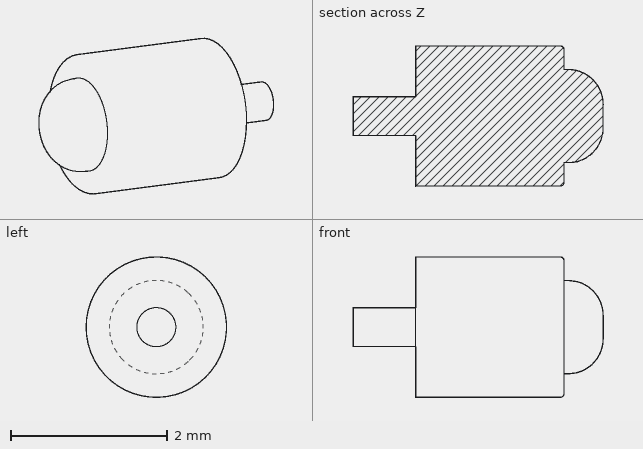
import cadquery as cq

pin_diameter = 0.5
pin_length = 0.8
body_diameter = 1.8
body_length = 1.9
body_edge_radius = 0.05
tip_diameter = 1.2
tip_length = 0.5
tip_edge_radius = 0.45

body_end = body_length
tip_end = body_end + tip_length


def cylinder_along_x(start, end, diameter):
    """Solid cylinder on the X axis between two stations."""
    return cq.Workplane("YZ", origin=(start, 0, 0)).circle(diameter / 2).extrude(end - start)


def make_pin():
    return cylinder_along_x(-pin_length, 0, pin_diameter)


def make_body():
    """Main barrel with its +X rim rounded over."""
    barrel = cylinder_along_x(0, body_end, body_diameter)
    return barrel.faces(">X").edges().fillet(body_edge_radius)


def make_tip():
    """Domed plunger: a short straight collar, then a large round up to a small flat."""
    plunger = cylinder_along_x(body_end, tip_end, tip_diameter)
    return plunger.faces(">X").edges().fillet(tip_edge_radius)


result = make_body().union(make_pin()).union(make_tip())